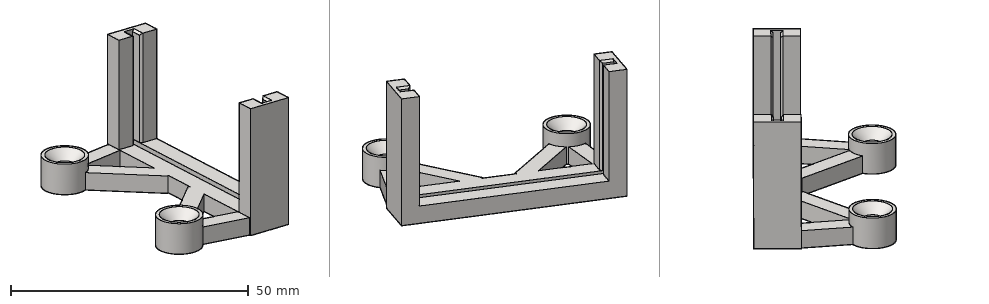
import cadquery as cq


frame_length = 50.0
frame_depth = 10.0
frame_height = 29.0
base_thickness = 4.0
post_thickness = 4.0

groove_width = 1.5
board_gap = 1.6
slot_wall = 1.0
slot_length = frame_length - 2 * slot_wall
slot_y = frame_depth / 2
lead_in = 0.5

boss_radius = 5.0
boss_height = 7.0
boss_x = frame_length / 2 - boss_radius
boss_y = -15.0
hole_diameter = 4.0
countersink_diameter = 8.4
countersink_angle = 90.0

brace_width = 4.0
outer_brace_angle = 100.0
outer_brace_length = 17.0
inner_brace_angle = 47.0
inner_brace_length = 22.0


def make_frame():
    """U-shaped frame: the base with a post at each end."""
    block = cq.Workplane("XY").box(frame_length, frame_depth, frame_height, centered=(True, False, False))
    opening = (
        cq.Workplane("XY", origin=(0, 0, base_thickness))
        .box(frame_length - 2 * post_thickness, frame_depth, frame_height, centered=(True, False, False))
    )
    return block.cut(opening)


def make_slot_cutter(width, floor_z):
    """Cutter for a slot of the given width, open upwards from floor_z."""
    return (
        cq.Workplane("XY", origin=(0, slot_y, floor_z))
        .box(slot_length, width, frame_height, centered=(True, True, False))
    )


def make_top_lead_in():
    """Cutter that widens the top of the slot towards the post tops."""
    half_gap = board_gap / 2
    return (
        cq.Workplane("YZ", origin=(0, slot_y, frame_height))
        .polyline([
            (-half_gap - lead_in, 0),
            (half_gap + lead_in, 0),
            (half_gap, -lead_in),
            (-half_gap, -lead_in),
        ])
        .close()
        .extrude(slot_length / 2, both=True)
    )


def make_mouth_lead_in():
    """Cutter that widens the slot mouths on the inner faces of both posts."""
    mouth_x = frame_length / 2 - post_thickness
    half_gap = board_gap / 2
    return (
        cq.Workplane("XY", origin=(0, slot_y, base_thickness))
        .polyline([
            (-mouth_x - lead_in, half_gap),
            (-mouth_x, half_gap + lead_in),
            (mouth_x, half_gap + lead_in),
            (mouth_x + lead_in, half_gap),
            (mouth_x + lead_in, -half_gap),
            (mouth_x, -half_gap - lead_in),
            (-mouth_x, -half_gap - lead_in),
            (-mouth_x - lead_in, -half_gap),
        ])
        .close()
        .extrude(frame_height - base_thickness)
    )


def make_brace(length, angle):
    """Straight bar starting at the left boss centre."""
    return (
        cq.Workplane("XY")
        .box(length, brace_width, base_thickness, centered=(False, True, False))
        .rotate((0, 0, 0), (0, 0, 1), angle)
        .translate((-boss_x, boss_y, 0))
    )


def make_left_support():
    """Left screw boss with its two braces."""
    boss = cq.Workplane("XY").center(-boss_x, boss_y).circle(boss_radius).extrude(boss_height)
    outer_brace = make_brace(outer_brace_length, outer_brace_angle)
    inner_brace = make_brace(inner_brace_length, inner_brace_angle)
    return (
        boss.union(outer_brace)
        .union(inner_brace)
        .faces(">Z")
        .workplane(origin=(-boss_x, boss_y, boss_height))
        .cskHole(hole_diameter, countersink_diameter, countersink_angle)
    )


left_support = make_left_support()
right_support = left_support.mirror("YZ")
frame = make_frame().union(left_support).union(right_support)
base_groove = make_slot_cutter(groove_width, slot_wall)
post_slot = make_slot_cutter(board_gap, base_thickness)
result = frame.cut(base_groove).cut(post_slot).cut(make_top_lead_in()).cut(make_mouth_lead_in())